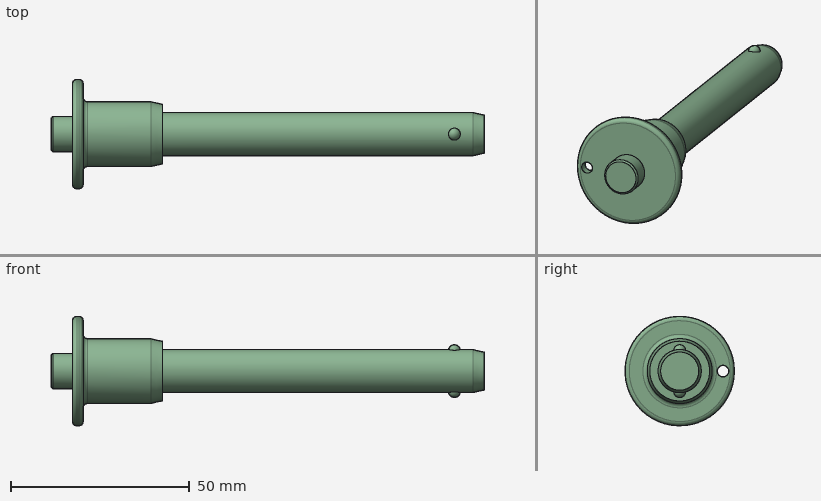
import cadquery as cq

total_length = 121.0

button_radius = 5.0
button_chamfer = 0.5
button_projection = 5.9
button_depth = 7.3

flange_diameter = 30.6
flange_thickness = 3.0
flange_fillet = 1.2
collar_radius = 9.1
collar_end = 31.1
collar_nose_length = 3.3
collar_nose_drop = 0.7
root_radius = 1.2
lanyard_hole_radius = 1.6
lanyard_hole_offset = 12.1

shank_radius = 6.0
tip_length = 3.1
tip_drop = 0.7
ball_radius = 1.7
ball_projection = 1.3
ball_to_tip = 8.3

flange_radius = flange_diameter / 2
flange_front = button_projection
flange_back = flange_front + flange_thickness
button_end = flange_front + button_depth
ball_x = total_length - ball_to_tip
ball_center_radius = shank_radius + ball_projection - ball_radius


def cylinder_x(start, end, radius):
    """Solid cylinder on the X axis between two stations."""
    return cq.Workplane("YZ", origin=(start, 0, 0)).circle(radius).extrude(end - start)


def make_button():
    """Plunger seated in the handle, with a chamfered outer end."""
    return cylinder_x(0, button_end, button_radius).faces("<X").chamfer(button_chamfer)


def make_handle():
    """Round flange and collar, bored for the button and the shank."""
    nose_start = collar_end - collar_nose_length
    flange_straight_start = flange_front + flange_fillet
    flange_straight_end = flange_back - flange_fillet
    flange_flat_radius = flange_radius - flange_fillet
    arc_reach = flange_fillet * 0.5 ** 0.5
    profile = (
        cq.Workplane("XY")
        .moveTo(flange_front, 0)
        .lineTo(flange_front, flange_flat_radius)
        .threePointArc(
            (flange_straight_start - arc_reach, flange_flat_radius + arc_reach),
            (flange_straight_start, flange_radius),
        )
        .lineTo(flange_straight_end, flange_radius)
        .threePointArc(
            (flange_straight_end + arc_reach, flange_flat_radius + arc_reach),
            (flange_back, flange_flat_radius),
        )
        .lineTo(flange_back, collar_radius + root_radius)
        .radiusArc((flange_back + root_radius, collar_radius), -root_radius)
        .lineTo(nose_start, collar_radius)
        .lineTo(collar_end, collar_radius - collar_nose_drop)
        .lineTo(collar_end, 0)
        .close()
    )
    handle = profile.revolve(360, (0, 0, 0), (1, 0, 0))
    lanyard_hole = cylinder_x(flange_front, flange_back, lanyard_hole_radius)
    handle = handle.cut(lanyard_hole.translate((0, lanyard_hole_offset, 0)))
    handle = handle.cut(cylinder_x(flange_front, button_end, button_radius))
    return handle.cut(cylinder_x(button_end, collar_end, shank_radius))


def make_shank():
    """Shank seated against the button, with a tapered tip and locking balls."""
    shank = cylinder_x(button_end, total_length, shank_radius)
    shank = shank.faces(">X").chamfer(tip_length, tip_drop)
    for side in (1, -1):
        ball = cq.Workplane("XY").sphere(ball_radius)
        shank = shank.union(ball.translate((ball_x, 0, side * ball_center_radius)))
    return shank


button = make_button()
handle = make_handle()
shank = make_shank()
bodies = [body.solids().val() for body in (button, handle, shank)]
result = cq.Compound.makeCompound(bodies)